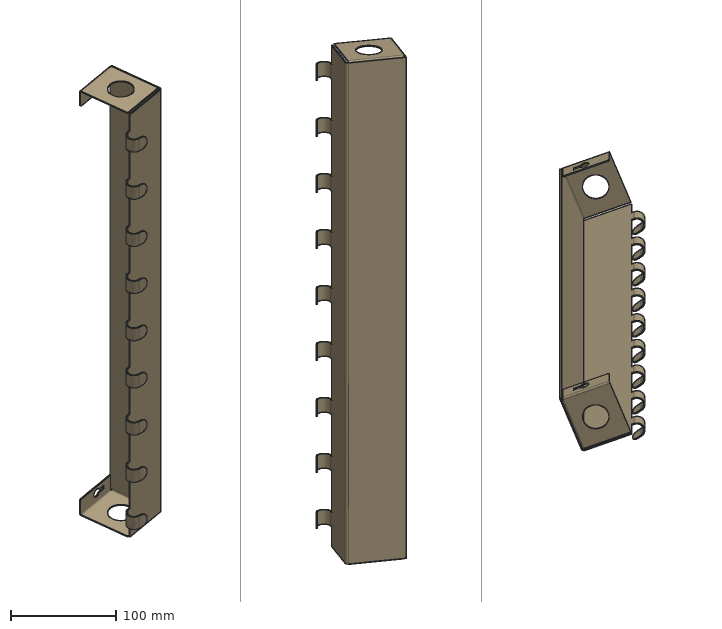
import cadquery as cq
import math

height = 513.0
overall_width = 76.5
overall_depth = 61.0

box_width = 60.0
box_depth = 51.0
sheet = 1.3
corner_bend = 1.5
tray_bend = 0.5
cover_end_gap = 1.5

flange_height = 19.0
flange_corner = 1.5
flange_relief = 0.5
port_diameter = 25.0
keyhole_diameter = 8.5
slot_width = 3.5
slot_reach = 11.5
keyhole_from_end = 11.5

hook_count = 9
hook_pitch = height / hook_count
hook_height = 15.0
hook_radius = 7.5
hook_lean = math.radians(15)
tip_corner = 6.5

half_height = height / 2
front_y = -box_depth
mid_x = box_width / 2
mid_y = front_y / 2
side_x = box_width - sheet
tray_right = box_width - sheet - corner_bend
tray_back = -sheet
panel_face = tray_back - sheet


def block(x_range, y_range, z_range):
    """Box between the given limits on each axis."""
    (x0, x1), (y0, y1), (z0, z1) = x_range, y_range, z_range
    return cq.Workplane("XY").box(x1 - x0, y1 - y0, z1 - z0, centered=False).translate((x0, y0, z0))


def make_hook(z):
    """J-shaped strip that runs off the side wall's front edge and curls round to an outward tip."""
    center_x = side_x + hook_radius
    center_y = hook_radius - overall_depth
    inner_radius = hook_radius - sheet
    curl_middle = -(math.pi + hook_lean) / 2

    def curl_point(radius, angle):
        return (center_x + radius * math.cos(angle), center_y + radius * math.sin(angle))

    outer_end = curl_point(hook_radius, -hook_lean)
    inner_end = curl_point(inner_radius, -hook_lean)
    tip_run = overall_width - outer_end[0]
    tip_rise = tip_run / math.tan(hook_lean)
    hook = (
        cq.Workplane("XY", origin=(0, 0, z - hook_height / 2))
        .moveTo(side_x, front_y)
        .lineTo(side_x, center_y)
        .threePointArc(curl_point(hook_radius, curl_middle), outer_end)
        .line(tip_run, tip_rise)
        .lineTo(inner_end[0] + tip_run, inner_end[1] + tip_rise)
        .lineTo(*inner_end)
        .threePointArc(curl_point(inner_radius, curl_middle), (box_width, center_y))
        .lineTo(box_width, front_y)
        .close()
        .extrude(hook_height)
    )
    tip_x = (outer_end[0] + inner_end[0]) / 2 + tip_run
    tip_y = (outer_end[1] + inner_end[1]) / 2 + tip_rise
    near_tip = cq.selectors.BoxSelector(
        (tip_x - sheet / 2, tip_y - sheet / 2, z - hook_height),
        (tip_x + sheet / 2, tip_y + sheet / 2, z + hook_height),
    )
    return hook.edges(near_tip).edges("<Z or >Z").fillet(tip_corner)


def make_cover():
    """Back wall and side wall bent from one sheet, with a row of hooks along the side's front edge."""
    z_range = (cover_end_gap - half_height, half_height - cover_end_gap)
    outer = block((0, box_width), (front_y, 0), z_range)
    outer = outer.edges(">X and >Y").fillet(corner_bend + sheet)
    inner = block((0, side_x), (front_y, tray_back), z_range)
    inner = inner.edges(">X and >Y").fillet(corner_bend)
    cover = outer.cut(inner)
    for i in range(hook_count):
        cover = cover.union(make_hook((i + 0.5) * hook_pitch - half_height))
    return cover


def make_keyhole():
    """Cutter for a round hole with a narrow slot towards the back."""
    face = cq.Workplane("YZ", origin=(0, mid_y, half_height - keyhole_from_end))
    hole = face.circle(keyhole_diameter / 2).extrude(sheet)
    slot = face.center(slot_reach / 2, 0).rect(slot_reach, slot_width).extrude(sheet)
    return hole.union(slot)


def make_flange():
    """Mounting flange at the top left, with the rounded bend that joins it to the top plate."""
    y_range = (front_y, panel_face - flange_relief)
    bottom = half_height - flange_height
    outer = block((0, mid_x), y_range, (bottom, half_height))
    outer = outer.edges("<X and >Z").fillet(tray_bend + sheet)
    inner = block((sheet, mid_x), y_range, (bottom, half_height - sheet))
    inner = inner.edges("<X and >Z").fillet(tray_bend)
    flange = outer.cut(inner).edges("|X and <Y and <Z").fillet(flange_corner)
    return flange.cut(make_keyhole())


def make_tray():
    """Back panel and two end plates bent from one sheet, each end plate with a mounting flange."""
    bend_edge = tray_bend + sheet
    outer = block((0, tray_right), (front_y, tray_back), (-half_height, half_height))
    outer = outer.edges("|X and >Y").fillet(bend_edge)
    inner = block((0, tray_right), (front_y, panel_face), (sheet - half_height, half_height - sheet))
    inner = inner.edges("|X and >Y").fillet(tray_bend)
    channel = outer.cut(inner)
    for sign in (1, -1):
        z_range = sorted((sign * (half_height - bend_edge), sign * half_height))
        channel = channel.cut(block((0, bend_edge), (front_y, tray_back), z_range))
    flange = make_flange()
    tray = channel.union(flange).union(flange.mirror("XY"))
    ports = cq.Workplane("XY", origin=(mid_x, mid_y, -half_height)).circle(port_diameter / 2).extrude(height)
    return tray.cut(ports)


cover = make_cover()
tray = make_tray()

result = cq.Compound.makeCompound([cover.solids().val(), tray.solids().val()])